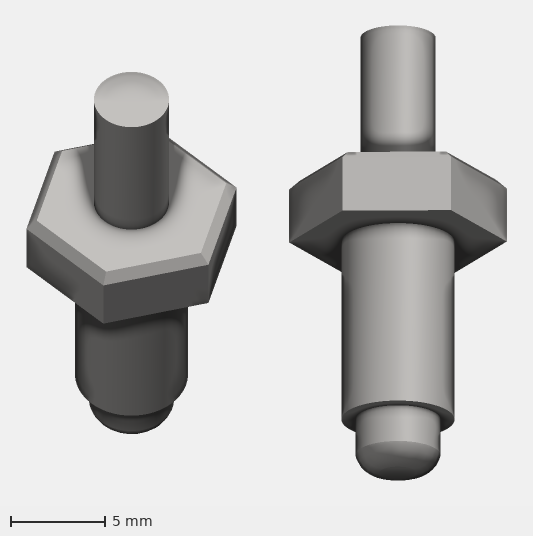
import cadquery as cq
import math

total_length = 24.5
stem_length = 8.0
stem_diameter = 4.0
hex_height = 3.48
hex_across_flats = 10.0
hex_chamfer = 0.5
body_length = 10.0
body_diameter = 6.0
pin_diameter = 4.5
tip_height = 1.0
tip_flat_diameter = 2.0

pin_end = hex_height + stem_length - total_length
tip_start = pin_end + tip_height
hex_across_corners = hex_across_flats / math.cos(math.pi / 6)


def hexagon_collar():
    """Hexagonal collar with its upper edges chamfered."""
    collar = cq.Workplane("XY").polygon(6, hex_across_corners).extrude(hex_height)
    return collar.faces(">Z").edges().chamfer(hex_chamfer)


def cylinder(diameter, start, length):
    """Upright cylinder on the Z axis, extruded from the start level."""
    return cq.Workplane("XY").workplane(offset=start).circle(diameter / 2).extrude(length)


def rounded_pin():
    """Pin below the body: its tip curves in on an arc tangent to a small flat end."""
    pin_radius = pin_diameter / 2
    flat_radius = tip_flat_diameter / 2
    tip_width = pin_radius - flat_radius
    arc_radius = (tip_width**2 + tip_height**2) / (2 * tip_height)
    half_sweep = math.atan2(tip_height, tip_width)
    arc_middle = (
        flat_radius + arc_radius * math.sin(half_sweep),
        pin_end + arc_radius * (1 - math.cos(half_sweep)),
    )
    return (
        cq.Workplane("XZ")
        .moveTo(0, pin_end)
        .lineTo(flat_radius, pin_end)
        .threePointArc(arc_middle, (pin_radius, tip_start))
        .lineTo(pin_radius, -body_length)
        .lineTo(0, -body_length)
        .close()
        .revolve(360, (0, 0, 0), (0, 1, 0))
    )


stem = cylinder(stem_diameter, hex_height, stem_length)
body = cylinder(body_diameter, -body_length, body_length)
result = hexagon_collar().union(stem).union(body).union(rounded_pin())